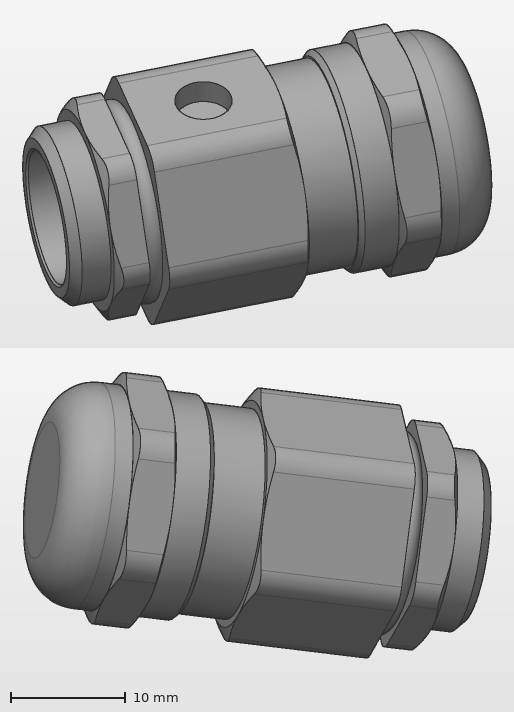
import cadquery as cq
import math

LENGTH = 38.65
NUT_START = 3.5
NUT_END = 6.5
BODY_START = 7.93
BODY_END = 21.0
COLLAR_START = 25.65
CAP_HEX_START = 29.2
CAP_HEX_END = 33.1

THREAD_DIAMETER = 16.0
THREAD_CHAMFER = 0.9
SEAL_DIAMETER = 18.2
SEAL_TUBE_RADIUS = 1.0
NECK_DIAMETER = 18.6
CAP_DIAMETER = 19.9
CAP_CROWN_DIAMETER = 12.0
COLLAR_CHAMFER = 0.45
BORE_DIAMETER = 12.0
BORE_DEPTH = 3.6
BORE_CHAMFER = 0.2

BODY_FLATS = 20.0
BODY_CORNER_RADIUS = 2.5
CAP_CORNER_RADIUS = 3.0
NUT_FLATS = 17.98
NUT_CORNER_RADIUS = 2.5
NUT_CHAMFER_ANGLE = 30.0
BODY_CHAMFER_ANGLE = 22.0
CAP_CHAMFER_ANGLE = 20.0

SIDE_HOLE_DIAMETER = 5.0
SIDE_HOLE_DEPTH = 2.3
SIDE_HOLE_Y = 14.35


def plane_at(y):
    """Plane across the axis at y, with its normal along +Y."""
    return cq.Plane(origin=(0, y, 0), xDir=(1, 0, 0), normal=(0, 1, 0))


def cylinder(diameter, start, end):
    return cq.Workplane(plane_at(start)).circle(diameter / 2).extrude(end - start)


def hexagon(flats, corner_radius, start, end, angle, chamfer_start=False, chamfer_end=False):
    """Hexagonal prism with rounded edges and conically turned corners at the chosen ends."""
    corner_diameter = flats / math.cos(math.radians(30))
    prism = (
        cq.Workplane(plane_at(start))
        .polygon(6, corner_diameter)
        .extrude(end - start)
        .edges("|Y")
        .fillet(corner_radius)
    )
    radial = (corner_diameter - flats) / 2
    axial = radial * math.tan(math.radians(angle))
    envelope = cylinder(corner_diameter, start, end)
    if chamfer_start:
        envelope = envelope.faces("<Y").chamfer(axial, radial)
    if chamfer_end:
        envelope = envelope.faces(">Y").chamfer(axial, radial)
    return prism.intersect(envelope)


thread = cylinder(THREAD_DIAMETER, 0, NUT_START).faces("<Y").chamfer(THREAD_CHAMFER)

nut = hexagon(
    NUT_FLATS, NUT_CORNER_RADIUS, NUT_START, NUT_END, NUT_CHAMFER_ANGLE, chamfer_start=True
)
seal_center_radius = SEAL_DIAMETER / 2 - SEAL_TUBE_RADIUS
seal_center_y = NUT_END + SEAL_TUBE_RADIUS
seal_body_radius = seal_center_radius + math.sqrt(SEAL_TUBE_RADIUS**2 - (BODY_START - seal_center_y) ** 2)
seal = (
    cq.Workplane("XY")
    .moveTo(0, NUT_END)
    .lineTo(seal_center_radius, NUT_END)
    .threePointArc((SEAL_DIAMETER / 2, seal_center_y), (seal_body_radius, BODY_START))
    .lineTo(0, BODY_START)
    .close()
    .revolve(360, (0, 0, 0), (0, 1, 0))
)

body = hexagon(
    BODY_FLATS, BODY_CORNER_RADIUS, BODY_START, BODY_END, BODY_CHAMFER_ANGLE, chamfer_end=True
)
neck = cylinder(NECK_DIAMETER, BODY_END, COLLAR_START)

crown_radius = (CAP_DIAMETER - CAP_CROWN_DIAMETER) / 2
cap = (
    cylinder(CAP_DIAMETER, COLLAR_START, LENGTH)
    .faces(">Y")
    .edges()
    .fillet(crown_radius)
    .faces("<Y")
    .chamfer(COLLAR_CHAMFER)
)
cap_hexagon = hexagon(
    BODY_FLATS,
    CAP_CORNER_RADIUS,
    CAP_HEX_START,
    CAP_HEX_END,
    CAP_CHAMFER_ANGLE,
    chamfer_start=True,
    chamfer_end=True,
)

bore_radius = BORE_DIAMETER / 2
bore_mouth_radius = bore_radius + BORE_CHAMFER
bore = (
    cq.Workplane("XY")
    .moveTo(0, 0)
    .lineTo(bore_mouth_radius, 0)
    .lineTo(bore_radius, BORE_CHAMFER)
    .lineTo(bore_radius, BORE_DEPTH)
    .lineTo(0, BORE_DEPTH)
    .close()
    .revolve(360, (0, 0, 0), (0, 1, 0))
)

side_hole = (
    cq.Workplane("XY", origin=(0, SIDE_HOLE_Y, BODY_FLATS / 2 - SIDE_HOLE_DEPTH))
    .circle(SIDE_HOLE_DIAMETER / 2)
    .extrude(SIDE_HOLE_DEPTH)
)

result = thread
for section in (nut, seal, body, neck, cap, cap_hexagon):
    result = result.union(section)
result = result.cut(bore).cut(side_hole)